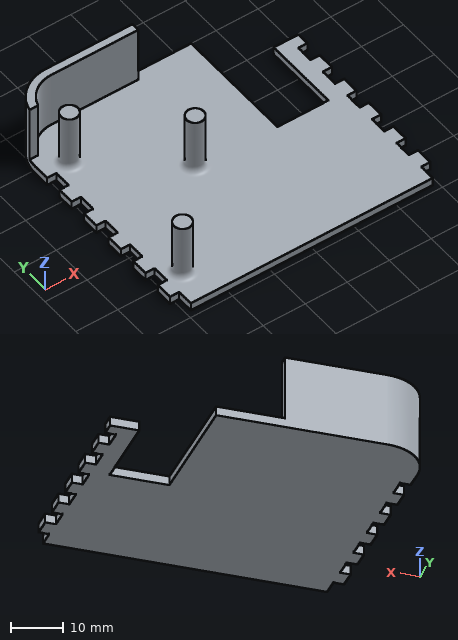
import cadquery as cq

length_x = 62.0
length_y = 57.0
total_height = 15.5
thickness = 2.0
corner_radius = 9.2

tab_depth = 2.2
tab_width = 4.0
tab_pitch = 8.0
notch_count = 5
first_tab_y = 3.8

slot_left = 43.95
slot_right = 56.05
slot_floor_y = 28.9
arm_end_y = 46.75

wall_thickness = 2.0
wall_end_x = 29.95
wall_start_y = 49.8

pin_diameter = 4.0
pin_foot_radius = 1.55
pin_column_x = 6.0
pin_centers = [(pin_column_x, 7.95), (pin_column_x, 44.75), (25.0, 29.75)]


def block(x_min, x_max, y_min, y_max, z_min, z_max):
    """Axis-aligned box given by its limits."""
    size = (x_max - x_min, y_max - y_min, z_max - z_min)
    return cq.Workplane("XY").box(*size, centered=False).translate((x_min, y_min, z_min))


def rounded_corner_block(inset, height):
    """Plate-sized block with a rounded back left corner, inset from its left and back sides."""
    body = block(inset, length_x, 0, length_y - inset, 0, height)
    return body.edges("|Z and <X and >Y").fillet(corner_radius - inset)


def edge_notches(y_min, y_max):
    """Matching cutters on the left and right edges."""
    left = block(0, tab_depth, y_min, y_max, 0, thickness)
    right = block(length_x - tab_depth, length_x, y_min, y_max, 0, thickness)
    return left.union(right)


def make_plate():
    plate = rounded_corner_block(0, thickness)
    plate = plate.cut(block(slot_left, slot_right, slot_floor_y, length_y, 0, thickness))
    plate = plate.cut(block(slot_right, length_x, arm_end_y, length_y, 0, thickness))
    plate = plate.cut(edge_notches(0, first_tab_y))
    for index in range(notch_count):
        tab_start = first_tab_y + index * tab_pitch
        plate = plate.cut(edge_notches(tab_start + tab_width, tab_start + tab_pitch))
    return plate


def make_wall():
    shell = rounded_corner_block(0, total_height).cut(rounded_corner_block(wall_thickness, total_height))
    return shell.intersect(block(0, wall_end_x, wall_start_y, length_y, 0, total_height))


def make_pin():
    """Pin standing on the plate, revolved about Z; it starts inside the plate for a solid joint."""
    radius = pin_diameter / 2
    foot_outer = radius + pin_foot_radius
    flare_top = thickness + pin_foot_radius
    flare_center = (foot_outer, flare_top)
    flare_offset = pin_foot_radius / 2**0.5
    flare_middle = (flare_center[0] - flare_offset, flare_center[1] - flare_offset)
    profile = (
        cq.Workplane("XZ")
        .lineTo(radius, 0)
        .lineTo(radius, thickness)
        .lineTo(foot_outer, thickness)
        .threePointArc(flare_middle, (radius, flare_top))
        .lineTo(radius, total_height)
        .lineTo(0, total_height)
        .close()
    )
    return profile.revolve(360, (0, 0, 0), (0, 1, 0))


result = make_plate().union(make_wall())
for pin_x, pin_y in pin_centers:
    result = result.union(make_pin().translate((pin_x, pin_y, 0)))